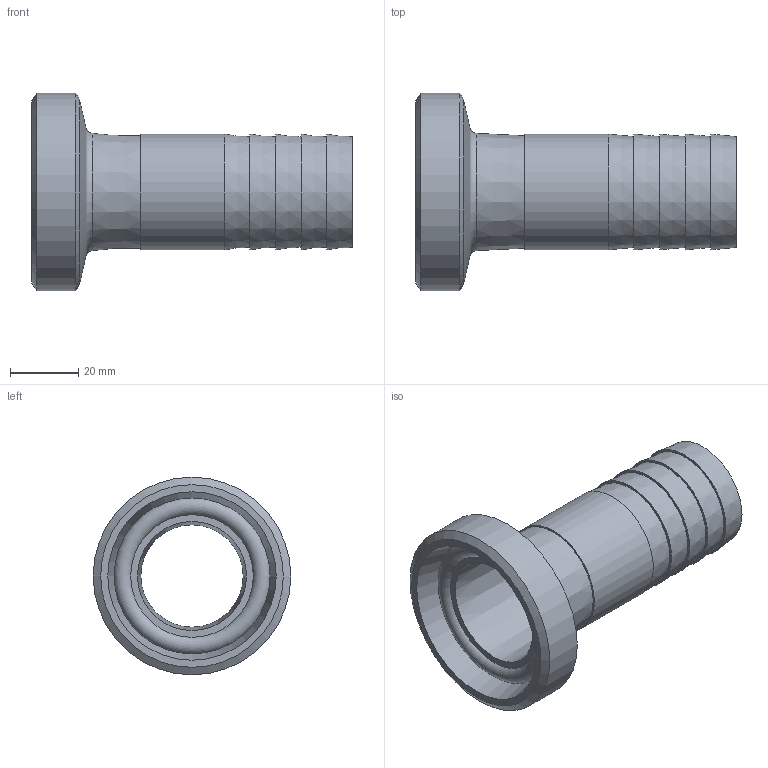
import cadquery as cq
import math

total_length = 94.0
chamfer_length = 1.5
flange_back = 12.9
bevel_end = 14.0
neck_start = 17.9
barrel_start = 32.0
barb_count = 5
barb_pitch = 7.5
barb_start = total_length - barb_count * barb_pitch

flange_radius = 58.0 / 2
flange_face_radius = 26.8
neck_start_radius = 17.2
neck_end_radius = 16.5
barrel_radius = 34.0 / 2
barb_root_radius = 16.25

shoulder_lean = math.radians(12.5)
fillet_radius = 2.1
shoulder_end = neck_start - fillet_radius * math.cos(shoulder_lean)
shoulder_end_radius = neck_start_radius + fillet_radius * (1 - math.sin(shoulder_lean))
bevel_end_radius = shoulder_end_radius + (shoulder_end - bevel_end) / math.tan(shoulder_lean)

seat_mouth_radius = 24.7
seat_root_radius = 22.9
seat_depth = 7.3
lip_radius = 36.0 / 2
bead_height = 1.6
bead_middle_radius = (lip_radius + seat_root_radius) / 2

bore_mouth_radius = 32.0 / 2
bore_radius = 30.0 / 2


def add_flange(profile):
    """Outline the chamfered rim, the back bevel and the shoulder down to the neck."""
    return (
        profile.moveTo(0, seat_mouth_radius)
        .lineTo(0, flange_face_radius)
        .lineTo(chamfer_length, flange_radius)
        .lineTo(flange_back, flange_radius)
        .lineTo(bevel_end, bevel_end_radius)
        .lineTo(shoulder_end, shoulder_end_radius)
        .tangentArcPoint((neck_start, neck_start_radius), relative=False)
    )


def add_neck_and_barrel(profile):
    """Outline the tapered neck, the small step up and the straight barrel."""
    return (
        profile.lineTo(barrel_start, neck_end_radius)
        .lineTo(barrel_start, barrel_radius)
        .lineTo(barb_start, barrel_radius)
    )


def add_barbs(profile):
    """Outline the saw-tooth hose barbs, starting on the barrel surface."""
    for index in range(barb_count):
        tooth_start = barb_start + index * barb_pitch
        if index > 0:
            profile = profile.lineTo(tooth_start, barrel_radius)
        profile = profile.lineTo(tooth_start + barb_pitch, barb_root_radius)
    return profile


def add_bore(profile):
    """Outline the bore from the free end back to the floor of the seat."""
    return (
        profile.lineTo(total_length, bore_radius)
        .lineTo(barrel_start, bore_radius)
        .lineTo(seat_depth, bore_mouth_radius)
    )


def add_seat(profile):
    """Outline the lip, the bead and the conical seat, closing the outline."""
    bead_top = (seat_depth - bead_height, bead_middle_radius)
    return (
        profile.lineTo(seat_depth, lip_radius)
        .threePointArc(bead_top, (seat_depth, seat_root_radius))
        .close()
    )


half_section = add_flange(cq.Workplane("XY"))
half_section = add_neck_and_barrel(half_section)
half_section = add_barbs(half_section)
half_section = add_bore(half_section)
half_section = add_seat(half_section)
result = half_section.revolve(360, (0, 0, 0), (1, 0, 0))